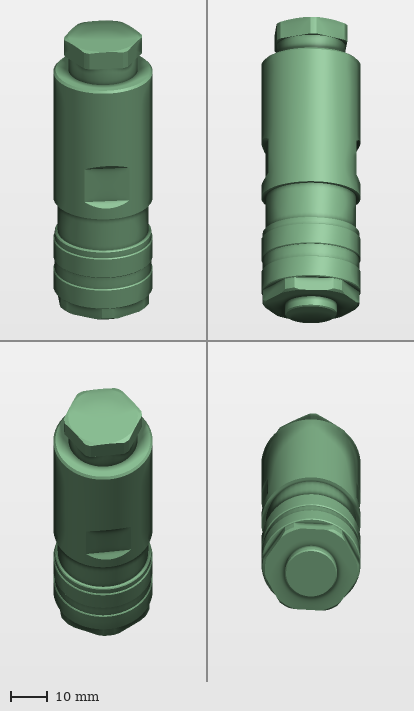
import cadquery as cq
import math

SPIGOT_BOTTOM = 0
LOWER_HEX_BOTTOM = 2.8
LOWER_RING_BOTTOM = 6.4
LOWER_RING_TOP = 12.3
UPPER_RING_BOTTOM = 15.8
UPPER_RING_TOP = 21.7
COLLAR_TOP = 23.7
BODY_BOTTOM = 33.7
BODY_TOP = 72.5
HEAD_BOTTOM = 77.5
HEAD_TOP = 82.6

BODY_DIAMETER = 27.0
COLLAR_DIAMETER = 26.3
WAIST_DIAMETER = 24.6
NECK_DIAMETER = 18.8
SPIGOT_DIAMETER = 14.2

BODY_CHAMFER = 0.6
RING_CHAMFER = 0.25
SPIGOT_CHAMFER = 0.3

HEAD_FLATS = 19.2
HEAD_CORNERS = 21.2
HEAD_FACE = 18.9
HEAD_CHAMFER_HEIGHT = 0.3
HEAD_CORNER_DIRECTION = 30
LOWER_HEX_FLATS = 24.1
LOWER_HEX_CORNERS = 26.35
LOWER_HEX_FACE = 25.1
LOWER_HEX_CHAMFER_HEIGHT = 0.6
LOWER_HEX_CORNER_DIRECTION = 0

FLATS_WIDTH = 24.0
FLATS_HEIGHT = 9.9
FLATS_CENTER_Z = 43.45
FLATS_DIRECTION = 120


def cylinder(diameter, bottom, top):
    return cq.Workplane("XY").workplane(offset=bottom).circle(diameter / 2).extrude(top - bottom)


def hexagon(flats, envelope, corner_direction):
    """Hexagonal prism with its corners trimmed by a coaxial round envelope."""
    across_corners = flats / math.cos(math.radians(30))
    prism = (
        cq.Workplane("XY")
        .transformed(rotate=(0, 0, corner_direction))
        .polygon(6, across_corners)
        .extrude(HEAD_TOP)
    )
    return prism.intersect(envelope)


def ring(bottom, top):
    return cylinder(BODY_DIAMETER, bottom, top).faces("<Z or >Z").chamfer(RING_CHAMFER)


def wrench_flat(direction):
    """Cutter for one flat, with ends sloping out at 45 degrees."""
    depth = BODY_DIAMETER - FLATS_WIDTH
    half_height = FLATS_HEIGHT / 2
    inner = FLATS_WIDTH / 2
    outer = inner + depth
    return (
        cq.Workplane("XZ")
        .moveTo(inner, FLATS_CENTER_Z - half_height)
        .lineTo(outer, FLATS_CENTER_Z - half_height - depth)
        .lineTo(outer, FLATS_CENTER_Z + half_height + depth)
        .lineTo(inner, FLATS_CENTER_Z + half_height)
        .close()
        .extrude(BODY_DIAMETER / 2, both=True)
        .rotate((0, 0, 0), (0, 0, 1), direction)
    )


head_envelope = (
    cylinder(HEAD_CORNERS, HEAD_BOTTOM, HEAD_TOP)
    .faces(">Z")
    .chamfer(HEAD_CHAMFER_HEIGHT, (HEAD_CORNERS - HEAD_FACE) / 2)
)
head = hexagon(HEAD_FLATS, head_envelope, HEAD_CORNER_DIRECTION)
neck = cylinder(NECK_DIAMETER, BODY_TOP, HEAD_BOTTOM)

body = cylinder(BODY_DIAMETER, BODY_BOTTOM, BODY_TOP).faces(">Z").chamfer(BODY_CHAMFER)
for direction in (FLATS_DIRECTION, FLATS_DIRECTION + 180):
    body = body.cut(wrench_flat(direction))

waist = cylinder(WAIST_DIAMETER, COLLAR_TOP, BODY_BOTTOM)
collar = cylinder(COLLAR_DIAMETER, LOWER_RING_BOTTOM, COLLAR_TOP).faces(">Z").chamfer(RING_CHAMFER)
lower_ring = ring(LOWER_RING_BOTTOM, LOWER_RING_TOP)
upper_ring = ring(UPPER_RING_BOTTOM, UPPER_RING_TOP)

lower_hex_envelope = (
    cylinder(LOWER_HEX_CORNERS, LOWER_HEX_BOTTOM, LOWER_RING_BOTTOM)
    .faces("<Z")
    .chamfer(LOWER_HEX_CHAMFER_HEIGHT, (LOWER_HEX_CORNERS - LOWER_HEX_FACE) / 2)
)
lower_hex = hexagon(LOWER_HEX_FLATS, lower_hex_envelope, LOWER_HEX_CORNER_DIRECTION)
spigot = (
    cylinder(SPIGOT_DIAMETER, SPIGOT_BOTTOM, LOWER_HEX_BOTTOM)
    .faces("<Z")
    .chamfer(SPIGOT_CHAMFER)
)

result = spigot
for section in (lower_hex, collar, lower_ring, upper_ring, waist, body, neck, head):
    result = result.union(section)